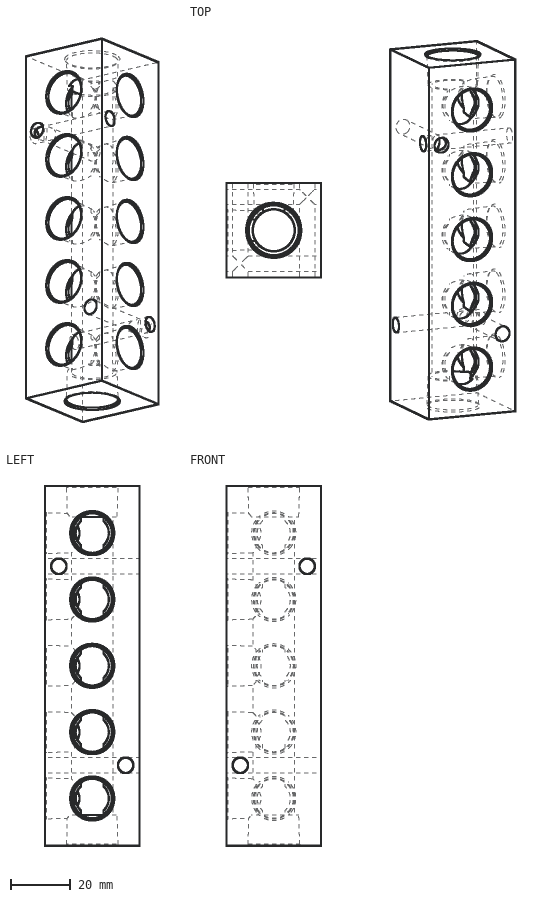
import cadquery as cq

SIDE = 31.75
LENGTH = 120.65

BORE_DIAMETER = 14.0
END_MOUTH_DIAMETER = 18.5
END_THREAD_DIAMETER = 17.3
END_THREAD_DEPTH = 10.4

PORT_COUNT = 5
PORT_PITCH = 22.225
PORT_MOUTH_DIAMETER = 14.8
PORT_THREAD_DIAMETER = 13.7
PORT_THREAD_DEPTH = 10.0
PORT_DRILL_DIAMETER = 11.1

THREAD_TAPER = 1 / 16

MOUNT_DIAMETER = 5.1
MOUNT_OFFSET = 11.2
MOUNT_HEIGHT = 33.34


def threaded_port(mouth_diameter, thread_diameter, depth):
    """Cutter about Z: mouth at Z = 0, 45 degree countersink, then a taper down to a flat floor."""
    mouth_radius = mouth_diameter / 2
    thread_radius = thread_diameter / 2
    countersink_depth = mouth_radius - thread_radius
    floor_radius = thread_radius - THREAD_TAPER * (depth - countersink_depth) / 2
    profile = (
        cq.Workplane("XZ")
        .moveTo(0, 0)
        .lineTo(mouth_radius, 0)
        .lineTo(thread_radius, -countersink_depth)
        .lineTo(floor_radius, -depth)
        .lineTo(0, -depth)
        .close()
    )
    return profile.revolve(360, (0, 0, 0), (0, 1, 0))


def cut_main_bore(body):
    """Run the bore end to end and open a threaded port at the top and bottom."""
    bore = cq.Workplane("XY").circle(BORE_DIAMETER / 2).extrude(LENGTH / 2, both=True)
    top_port = threaded_port(END_MOUTH_DIAMETER, END_THREAD_DIAMETER, END_THREAD_DEPTH)
    top_port = top_port.translate((0, 0, LENGTH / 2))
    bottom_port = top_port.mirror("XY")
    return body.cut(bore).cut(top_port).cut(bottom_port)


def cut_outlet_ports(body):
    """Cut the evenly spaced ports on the -X and +Y faces, each drilled on to the bore axis."""
    thread = threaded_port(PORT_MOUTH_DIAMETER, PORT_THREAD_DIAMETER, PORT_THREAD_DEPTH)
    drill = cq.Workplane("XY").circle(PORT_DRILL_DIAMETER / 2).extrude(-SIDE / 2)
    port = thread.union(drill)
    left_port = port.rotate((0, 0, 0), (0, 1, 0), -90).translate((-SIDE / 2, 0, 0))
    back_port = left_port.rotate((0, 0, 0), (0, 0, 1), -90)
    for index in range(PORT_COUNT):
        height = (index - (PORT_COUNT - 1) / 2) * PORT_PITCH
        for port_cutter in (left_port, back_port):
            body = body.cut(port_cutter.translate((0, 0, height)))
    return body


def cut_mounting_holes(body):
    """Drill through along X and along Y, at +offset near the top and -offset near the bottom."""
    for plane in ("YZ", "XZ"):
        holes = (
            cq.Workplane(plane)
            .pushPoints([(MOUNT_OFFSET, MOUNT_HEIGHT), (-MOUNT_OFFSET, -MOUNT_HEIGHT)])
            .circle(MOUNT_DIAMETER / 2)
            .extrude(SIDE / 2, both=True)
        )
        body = body.cut(holes)
    return body


block = cq.Workplane("XY").box(SIDE, SIDE, LENGTH)
block = cut_main_bore(block)
block = cut_outlet_ports(block)
result = cut_mounting_holes(block)